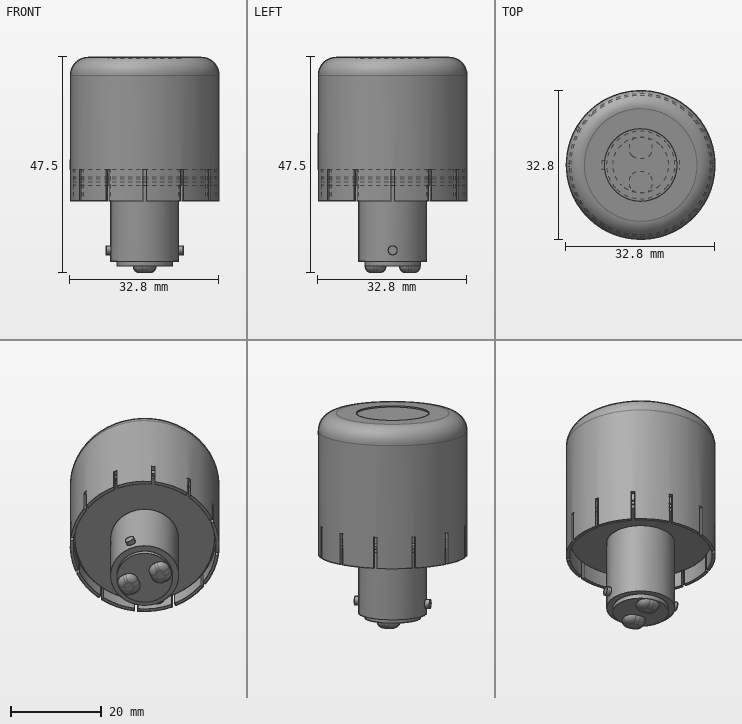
import cadquery as cq

total_height = 47.5

shell_diameter = 32.8
shell_bore = 31.5
shell_bottom = 15.8
crown_radius = 4.0
recess_diameter = 16.0
recess_depth = 0.3

slot_count = 12
slot_width = 0.75
slot_height = 7.0
slot_top = shell_bottom + slot_height

plug_diameter = 30.8
plug_bottom = 19.2
bead_bottom = 19.95
bead_shoulder = 20.65
bead_top = 21.15

base_diameter = 15.0
base_bottom = 2.5
insulator_diameter = 12.3
insulator_bottom = 1.45
pin_diameter = 2.0
pin_span = 17.0
pin_height = 4.95

contact_length = 5.05
contact_width = 4.6
contact_spacing = 7.55
contact_corner_radius = 2.0
contact_edge_radius = insulator_bottom


def cylinder(diameter, bottom, top):
    """Upright cylinder on the part axis between two heights."""
    return cq.Workplane("XY").workplane(offset=bottom).circle(diameter / 2).extrude(top - bottom)


def make_shell():
    """Rounded cap with a shallow round recess on top and an open, slotted lower rim."""
    shell = cylinder(shell_diameter, shell_bottom, total_height)
    shell = shell.faces(">Z").edges().fillet(crown_radius)
    shell = shell.cut(cylinder(recess_diameter, total_height - recess_depth, total_height))
    shell = shell.cut(cylinder(shell_bore, shell_bottom, slot_top))
    slot = (
        cq.Workplane("XY")
        .box(shell_diameter, slot_width, slot_height, centered=(False, True, False))
        .translate((0, 0, shell_bottom))
    )
    for index in range(slot_count):
        angle = index * 360 / slot_count
        shell = shell.cut(slot.rotate((0, 0, 0), (0, 0, 1), angle))
    return shell


def make_plug():
    """Solid core closing the shell, with a bead that is square below and sloped above."""
    plug_radius = plug_diameter / 2
    bead_radius = shell_bore / 2
    return (
        cq.Workplane("XZ")
        .moveTo(0, plug_bottom)
        .lineTo(plug_radius, plug_bottom)
        .lineTo(plug_radius, bead_bottom)
        .lineTo(bead_radius, bead_bottom)
        .lineTo(bead_radius, bead_shoulder)
        .lineTo(plug_radius, bead_top)
        .lineTo(plug_radius, slot_top)
        .lineTo(0, slot_top)
        .close()
        .revolve(360, (0, 0, 0), (0, 1, 0))
    )


def make_base():
    """Bayonet barrel with its insulator step and a pin through it along X."""
    barrel = cylinder(base_diameter, base_bottom, plug_bottom)
    insulator = cylinder(insulator_diameter, insulator_bottom, base_bottom)
    pins = (
        cq.Workplane("YZ")
        .center(0, pin_height)
        .circle(pin_diameter / 2)
        .extrude(pin_span / 2, both=True)
    )
    return barrel.union(insulator).union(pins)


def make_contact(center_y):
    """Contact pad set into the insulator, its exposed rim rounded over the full height."""
    return (
        cq.Workplane("XY")
        .box(contact_length, contact_width, base_bottom, centered=(True, True, False))
        .edges("|Z")
        .fillet(contact_corner_radius)
        .faces("<Z")
        .edges()
        .fillet(contact_edge_radius)
        .translate((0, center_y, 0))
    )


result = make_shell().union(make_plug()).union(make_base())
for side in (-1, 1):
    result = result.union(make_contact(side * contact_spacing / 2))